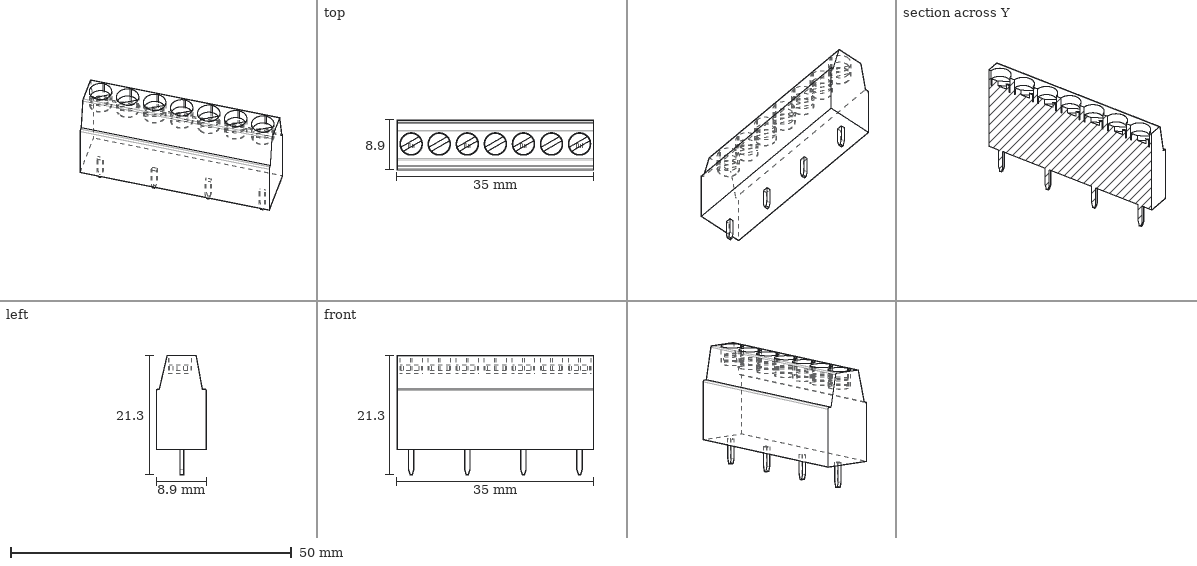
import cadquery as cq

pole_count = 7
pole_pitch = 5.0
pin_count = 4
pin_pitch = 2 * pole_pitch

housing_length = pole_count * pole_pitch
housing_depth = 8.9
housing_height = 16.8
front_y = -4.35
back_y = front_y + housing_depth
shoulder_z = 10.8
front_shoulder_width = 0.7
back_shoulder_width = 0.5
front_top_inset = 1.8
back_top_inset = 1.9
edge_radius = 0.3
back_top_radius = 0.1

well_diameter = 4.0
well_front_offset = 4.65
well_y = front_y + well_front_offset
notch_width = 0.3
notch_reach = 0.05
screw_diameter = 3.8
screw_recess = 1.7
well_depth = 3.2
slot_width = 0.85
slot_depth = 1.0
slot_angle = 30

pin_length = 4.5
pin_width = 1.0
pin_thickness = 0.7
pin_tip_width = 0.4
pin_tip_length = 1.0

first_pole_x = -(pole_count - 1) * pole_pitch / 2


def make_housing():
    """Prism along X with a stepped, tapering cross-section and rounded long edges."""
    profile = [
        (front_y, 0),
        (front_y, shoulder_z),
        (front_y + front_shoulder_width, shoulder_z),
        (front_y + front_top_inset, housing_height),
        (back_y - back_top_inset, housing_height),
        (back_y - back_shoulder_width, shoulder_z),
        (back_y, shoulder_z),
        (back_y, 0),
    ]
    body = cq.Workplane("YZ").polyline(profile).close().extrude(housing_length / 2, both=True)

    def long_edge(y, z):
        return cq.selectors.NearestToPointSelector((0, y, z))

    body = body.edges(long_edge(front_y, shoulder_z)).fillet(edge_radius)
    body = body.edges(long_edge(back_y, shoulder_z)).fillet(edge_radius)
    body = body.edges(long_edge(front_y + front_top_inset, housing_height)).fillet(edge_radius)
    body = body.edges(long_edge(back_y - back_top_inset, housing_height)).fillet(back_top_radius)
    return body


def make_well(x):
    """Blind round well in the top face, with a narrow notch down its +Y wall."""
    floor_plane = cq.Workplane("XY", origin=(x, well_y, housing_height - well_depth))
    bore = floor_plane.circle(well_diameter / 2).extrude(well_depth)
    notch_length = well_diameter / 2 + notch_reach
    notch = (
        floor_plane.center(0, notch_length / 2)
        .rect(notch_width, notch_length)
        .extrude(well_depth)
    )
    return bore.union(notch)


def make_screw(x):
    """Screw head standing on the well floor, with a slot right across it."""
    screw_height = well_depth - screw_recess
    screw_top = housing_height - screw_recess
    head = (
        cq.Workplane("XY", origin=(x, well_y, screw_top))
        .circle(screw_diameter / 2)
        .extrude(-screw_height)
    )
    slot = (
        cq.Workplane("XY", origin=(x, well_y, screw_top))
        .transformed(rotate=(0, 0, slot_angle))
        .rect(well_diameter, slot_width)
        .extrude(-slot_depth)
    )
    return head.cut(slot)


def make_pin(x):
    """Flat solder pin below the housing, tapering in width to a blunt tip."""
    taper_z = pin_tip_length - pin_length
    outline = [
        (-pin_width / 2, 0),
        (-pin_width / 2, taper_z),
        (-pin_tip_width / 2, -pin_length),
        (pin_tip_width / 2, -pin_length),
        (pin_width / 2, taper_z),
        (pin_width / 2, 0),
    ]
    return (
        cq.Workplane("XZ", origin=(x, 0, 0))
        .polyline(outline)
        .close()
        .extrude(pin_thickness / 2, both=True)
    )


result = make_housing()

for pole in range(pole_count):
    pole_x = first_pole_x + pole * pole_pitch
    result = result.cut(make_well(pole_x)).union(make_screw(pole_x))

for pin in range(pin_count):
    result = result.union(make_pin(first_pole_x + pin * pin_pitch))